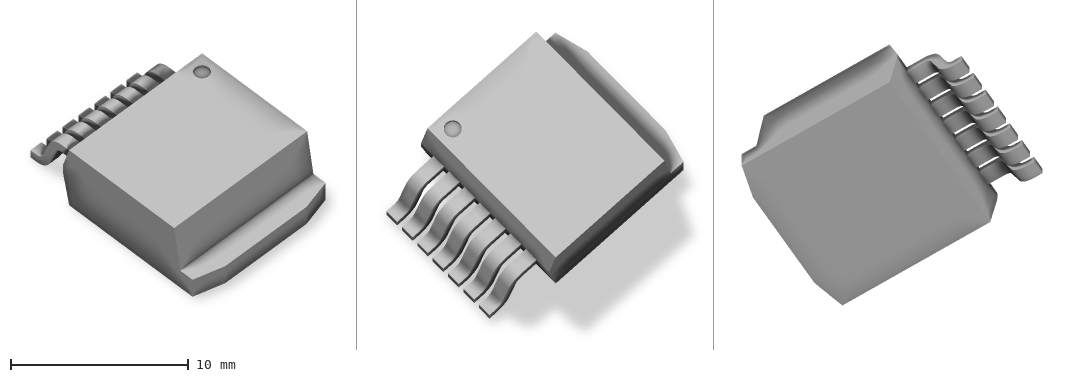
import cadquery as cq
import math

total_length = 14.55
total_width = 10.53
total_height = 4.57
tip_x = -total_length / 2
tab_end_x = total_length / 2

lead_count = 7
lead_pitch = 1.27
lead_width = 0.87
lead_thickness = 0.6
lead_reach = 3.64
lead_top_z = 2.95
foot_length = 0.52
inner_bend_radius = 0.48
outer_bend_radius = inner_bend_radius + lead_thickness
bend_angle = math.radians(69.5)

lead_face_x = tip_x + lead_reach
end_taper = 0.5
tab_face_distance = 13.02
tab_face_x = tip_x + tab_face_distance

tab_height = 1.41
tab_corner_length = 0.55
tab_corner_width = 2.05

marker_diameter = 1.0
marker_edge_distance = 1.0
marker_recess_depth = 0.2
marker_thickness = 0.1
marker_x = lead_face_x + end_taper + marker_edge_distance
marker_y = total_width / 2 - marker_edge_distance


def make_disc(bottom_z, height):
    """Upright disc at the pin 1 corner."""
    return (
        cq.Workplane("XY", origin=(marker_x, marker_y, bottom_z))
        .circle(marker_diameter / 2)
        .extrude(height)
    )


def make_housing():
    """Moulded block with sloped ends, a flat band behind the leads and the marker recess."""
    profile = [
        (lead_face_x + end_taper, 0),
        (tab_face_x, 0),
        (tab_face_x, tab_height),
        (tab_face_x - end_taper, total_height),
        (lead_face_x + end_taper, total_height),
        (lead_face_x, lead_top_z),
        (lead_face_x, lead_top_z - lead_thickness),
    ]
    block = cq.Workplane("XZ").polyline(profile).close().extrude(total_width / 2, both=True)
    recess_depth = marker_recess_depth + marker_thickness
    return block.cut(make_disc(total_height - recess_depth, recess_depth))


def make_marker():
    """Disc that fills the lower part of the recess."""
    return make_disc(total_height - marker_recess_depth - marker_thickness, marker_thickness)


def make_tab():
    """Full-width plate with its two outer corners cut off at an angle."""
    half_width = total_width / 2
    outline = [
        (tab_face_x, -half_width),
        (tab_end_x - tab_corner_length, -half_width),
        (tab_end_x, -half_width + tab_corner_width),
        (tab_end_x, half_width - tab_corner_width),
        (tab_end_x - tab_corner_length, half_width),
        (tab_face_x, half_width),
    ]
    return cq.Workplane("XY").polyline(outline).close().extrude(tab_height)


def point_on_arc(center, radius, angle):
    """Point at an angle measured from +X towards +Z."""
    return (center[0] + radius * math.cos(angle), center[1] + radius * math.sin(angle))


def make_lead(center_y):
    """Gull-wing strip of constant thickness, bent twice through the same angle."""
    lower_center = (tip_x + foot_length, lead_thickness + inner_bend_radius)
    lower_start = -math.pi / 2
    lower_middle = lower_start + bend_angle / 2
    lower_end = lower_start + bend_angle

    upper_center_z = lead_top_z - outer_bend_radius
    center_rise = upper_center_z - lower_center[1]
    center_gap = inner_bend_radius + outer_bend_radius
    center_run = (center_gap + center_rise * math.cos(bend_angle)) / math.sin(bend_angle)
    upper_center = (lower_center[0] + center_run, upper_center_z)
    upper_start = math.pi / 2 + bend_angle
    upper_middle = math.pi / 2 + bend_angle / 2
    upper_end = math.pi / 2

    strip = (
        cq.Workplane("XZ", origin=(0, center_y, 0))
        .moveTo(tip_x, lead_thickness)
        .lineTo(*point_on_arc(lower_center, inner_bend_radius, lower_start))
        .threePointArc(
            point_on_arc(lower_center, inner_bend_radius, lower_middle),
            point_on_arc(lower_center, inner_bend_radius, lower_end),
        )
        .lineTo(*point_on_arc(upper_center, outer_bend_radius, upper_start))
        .threePointArc(
            point_on_arc(upper_center, outer_bend_radius, upper_middle),
            point_on_arc(upper_center, outer_bend_radius, upper_end),
        )
        .lineTo(lead_face_x, lead_top_z)
        .lineTo(lead_face_x, lead_top_z - lead_thickness)
        .lineTo(*point_on_arc(upper_center, inner_bend_radius, upper_end))
        .threePointArc(
            point_on_arc(upper_center, inner_bend_radius, upper_middle),
            point_on_arc(upper_center, inner_bend_radius, upper_start),
        )
        .lineTo(*point_on_arc(lower_center, outer_bend_radius, lower_end))
        .threePointArc(
            point_on_arc(lower_center, outer_bend_radius, lower_middle),
            point_on_arc(lower_center, outer_bend_radius, lower_start),
        )
        .lineTo(tip_x, 0)
        .close()
    )
    return strip.extrude(lead_width / 2, both=True)


housing = make_housing()
tab = make_tab()
marker = make_marker()
leads = []
for index in range(lead_count):
    lead_y = (index - (lead_count - 1) / 2) * lead_pitch
    leads.append(make_lead(lead_y).val())

result = cq.Compound.makeCompound([housing.val(), tab.val(), marker.val(), *leads])